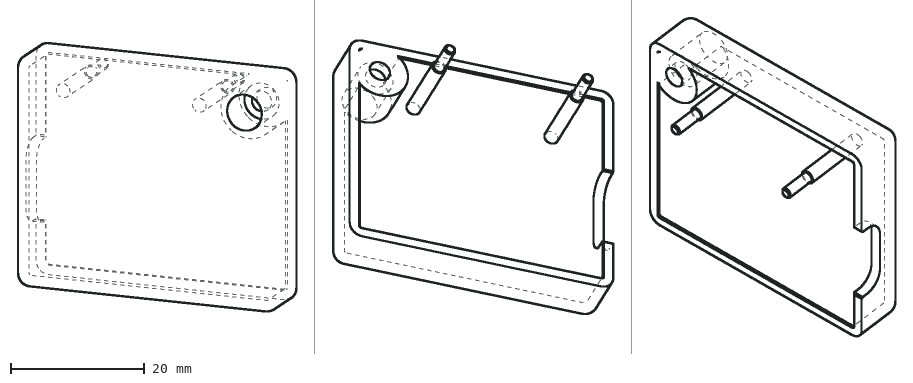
import cadquery as cq

width = 42.0
height = 36.0
overall_depth = 18.0
shell_depth = 9.0
outer_radius = 2.0
wall = 1.7
floor_y = wall - shell_depth
rim_chamfer = 0.2

screw_diameter = 3.2
counterbore_diameter = 5.6
screw_seat_thickness = 2.0
post_diameter = counterbore_diameter + 2 * wall
screw_below_top = 4.9
screw_x = width / 2 - outer_radius - counterbore_diameter / 2
screw_z = height / 2 - screw_below_top

notch_depth = 4.15
notch_height = 12.95
notch_radius = 3.0
notch_z = -3.02

pin_x_positions = (-13.75, 8.25)
pin_below_top = 5.0
pin_z = height / 2 - pin_below_top
pin_base_diameter = 2.2
pin_tip_diameter = 1.7
pin_length = overall_depth - shell_depth
pin_tip_length = 5.0
pin_shoulder = pin_length - pin_tip_length
pin_chamfer = 0.2


def block(size_x, size_z, start_y, end_y):
    """Box centred on X and Z, running from start_y to end_y."""
    return (
        cq.Workplane("XY")
        .box(size_x, end_y - start_y, size_z)
        .translate((0, (start_y + end_y) / 2, 0))
    )


def cylinder(diameter, x, z, start_y, end_y):
    """Cylinder along Y from start_y to end_y."""
    axis = cq.Vector(0, 1, 0)
    return cq.Workplane(
        cq.Solid.makeCylinder(diameter / 2, end_y - start_y, cq.Vector(x, start_y, z), axis)
    )


def rounded_body():
    """Outer block with every edge rounded except those of the back rim."""
    body = block(width, height, -shell_depth, 0)
    return body.edges("|Y or <Y").fillet(outer_radius)


def cavity():
    """Hollow that leaves an even wall inside the body."""
    hollow = block(width - 2 * wall, height - 2 * wall, floor_y, 0)
    return hollow.edges("|Y or <Y").fillet(outer_radius - wall)


def wall_notch():
    """Cutter for the -X wall, open at the rim with rounded inner corners."""
    cutter = (
        cq.Workplane("XY")
        .box(wall, 2 * notch_depth, notch_height)
        .edges("|X and <Y")
        .fillet(notch_radius)
    )
    return cutter.translate(((wall - width) / 2, 0, notch_z))


def pin(x):
    """Stepped pin with a chamfered tip, rooted halfway into the front wall."""
    base = cylinder(pin_base_diameter, x, pin_z, floor_y - wall / 2, pin_shoulder)
    tip = cylinder(pin_tip_diameter, x, pin_z, pin_shoulder, pin_length)
    return base.union(tip.faces(">Y").chamfer(pin_chamfer))


def break_inner_rim(shell):
    """Chamfer the back rim along the cavity and across the notch ends."""
    margin = wall / 4
    inside = cq.selectors.BoxSelector(
        (margin - width / 2, -margin, margin - height / 2),
        (width / 2 - margin, margin, height / 2 - margin),
    )
    straight_rim_edges = shell.faces(">Y").edges("|X or |Z")
    return straight_rim_edges.edges(inside).chamfer(rim_chamfer)


outer = rounded_body()
post = cylinder(post_diameter, screw_x, screw_z, -shell_depth, 0).intersect(outer)
shell = outer.cut(cavity()).cut(wall_notch())
result = break_inner_rim(shell).union(post)

for pin_x in pin_x_positions:
    result = result.union(pin(pin_x))

result = result.cut(cylinder(screw_diameter, screw_x, screw_z, -shell_depth, 0))
result = result.cut(cylinder(counterbore_diameter, screw_x, screw_z, -shell_depth, -screw_seat_thickness))